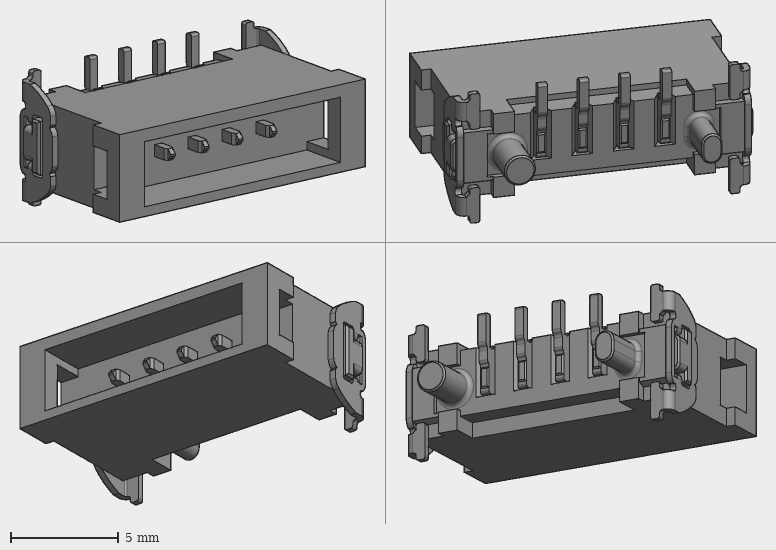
import cadquery as cq


total_length = 14.6
mating_x = 7.75
post_length = 2.0

body_width = 13.58
body_height = 4.26
flange_width = 14.51
flange_x = 5.75
half_height = body_height / 2

back_x = 0.29
standoff_inner_y = 4.35
standoff_outer_y = 5.36
ledge_x = 1.43
ledge_top_z = 1.84
ledge_bottom_z = -1.37
seat_half_height = 1.1
seat_outer_y = 5.64
shoulder_x = 0.48
shelf_x = 0.095
shelf_half_height = 1.28
shelf_slope_height = 0.16

mouth_half_width = 5.78
mouth_clearance = 0.41
slot_start_x = 5.21
slot_end_x = 6.8
slot_bottom_z = -1.24
slot_top_z = 1.11

post_diameter = 1.5
post_y = 4.63
oval_post_y = 4.65
oval_post_width = 1.0
post_root_fillet = 0.23
post_tip_chamfer = 0.09

contact_pitch = 2.0
contact_count = 4
contact_width = 0.45
contact_front_x = -0.06
contact_top_z = 3.36
contact_bottom_z = -0.5
groove_width = 1.01
groove_floor_x = 0.77
groove_bottom_z = -0.58
rib_width = 0.29
rib_top_z = 0.79
rib_bottom_z = -0.23
rib_height = 0.06
contact_lower_x = 0.23
prong_half_height = 0.285
prong_embed = 0.15
prong_tip_x = 6.34
prong_taper_x = 5.94
prong_chamfer_x = 6.13
prong_tip_height = 0.09
prong_tip_width = 0.26

sheet = 0.32
clip_inner_y = body_width / 2
clip_outer_y = clip_inner_y + sheet
clip_front_x = -0.06
clip_edge_x = 0.036
bend_radius = 0.41
bend_end_x = clip_front_x + bend_radius
bend_end_y = clip_outer_y - bend_radius
bend_top_z = 2.89
bend_bottom_z = 1.94
relief_bottom_z = 1.56
relief_end_x = 0.445
tab_top_z = 3.28
tab_bottom_z = 1.49
tab_inner_y = 6.05
tab_outer_y = 6.53
tab_rounding = 0.12

boss_top_y = total_length / 2
opening_stem_x = 0.32
opening_bar_x = 1.01
opening_end_x = 1.72
opening_stem_half = 1.24
opening_bar_half = 1.47
opening_edge_chamfer = 0.07
opening_corner_radius = 0.1
lip_start_x = 0.58
boss_stem_x = 0.42
boss_bar_x = 1.1
boss_end_x = 1.68
boss_stem_half = 0.85
boss_bar_half = 1.31
boss_stem_fillet = 0.29
boss_chamfer = 0.1


def block(x0, x1, y0, y1, z0, z1):
    return cq.Workplane("XY").box(x1 - x0, y1 - y0, z1 - z0, centered=False).translate((x0, y0, z0))


def both_ends(shape):
    """The shape together with its mirror image at the other end of the row."""
    return shape.union(shape.mirror("XZ"))


def xz_plate(outline_plane_y, outline, thickness):
    """Closed XZ outline extruded toward +Y from the given Y."""
    plane = cq.Workplane("XZ", origin=(0, outline_plane_y, 0))
    return outline(plane).close().extrude(-thickness)


def housing():
    body = block(0, mating_x, -body_width / 2, body_width / 2, -half_height, half_height)
    flange = block(flange_x, mating_x, -flange_width / 2, flange_width / 2, -half_height, half_height)
    body = body.union(flange)

    body = body.cut(block(0, back_x, -standoff_inner_y, standoff_inner_y, -half_height, half_height))
    for z0, z1 in ((ledge_top_z, half_height), (-half_height, ledge_bottom_z)):
        body = body.cut(block(0, ledge_x, -standoff_inner_y, standoff_inner_y, z0, z1))

    seat = block(0, back_x, standoff_inner_y, seat_outer_y, -seat_half_height, seat_half_height)
    body = body.cut(both_ends(seat))

    shoulder = block(0, shoulder_x, standoff_outer_y, clip_inner_y, -half_height, half_height)
    shelf = xz_plate(
        standoff_outer_y,
        lambda w: w.polyline([
            (shelf_x, shelf_half_height),
            (shoulder_x, shelf_half_height),
            (shoulder_x, -shelf_half_height - shelf_slope_height),
            (shelf_x, -shelf_half_height),
        ]),
        clip_inner_y - standoff_outer_y,
    )
    seat_side = block(0, back_x, standoff_outer_y, seat_outer_y, -seat_half_height, seat_half_height)
    body = body.cut(both_ends(shoulder.cut(shelf.cut(seat_side))))

    half_flange = flange_width / 2
    body = body.cut(block(slot_start_x, slot_end_x, -half_flange, half_flange, slot_bottom_z, slot_top_z))
    mouth_bottom_z = slot_bottom_z - mouth_clearance
    mouth_top_z = slot_top_z + mouth_clearance
    mouth = block(slot_start_x, mating_x, -mouth_half_width, mouth_half_width, mouth_bottom_z, mouth_top_z)
    return body.cut(mouth)


def add_post(body, y, profile):
    """Post on its seat, with a rounded root and a chamfered tip; profile sketches its section."""
    seat = cq.Workplane("YZ", origin=(back_x, y, 0))
    post = profile(seat).extrude(-post_length - back_x)
    post = post.faces("<X").edges().chamfer(post_tip_chamfer)
    reach = post_diameter / 2 + post_root_fillet / 2
    margin = 0.01
    root = cq.selectors.BoxSelector(
        (back_x - margin, y - reach, -reach),
        (back_x + margin, y + reach, reach),
    )
    return body.union(post).edges(root).fillet(post_root_fillet)


def contact_groove(y):
    return (
        cq.Workplane("XY", origin=(0, y, groove_bottom_z))
        .polyline([
            (back_x, -groove_width / 2),
            (groove_floor_x, -contact_width / 2),
            (groove_floor_x, contact_width / 2),
            (back_x, groove_width / 2),
        ])
        .close()
        .extrude(half_height - groove_bottom_z)
    )


def contact(y):
    tail_back_x = 0.35
    rounding = 0.12
    neck_x = 0.095
    upper_bend = (1.94, 1.56)
    lower_bend = (1.1, rib_top_z)
    lip_x = 0.63
    lip_top_z = 1.9
    notch_floor_z = 1.75

    def outline(w):
        def bend_to(w, x0, x1, z0, z1):
            """S-bend from one vertical front face down to another."""
            w = w.lineTo(x0, z0)
            w = w.tangentArcPoint(((x0 + x1) / 2, (z0 + z1) / 2), relative=False)
            return w.tangentArcPoint((x1, z1), relative=False)

        w = (
            w.moveTo(groove_floor_x, contact_bottom_z)
            .lineTo(groove_floor_x, lip_top_z)
            .lineTo(lip_x, lip_top_z)
            .lineTo(lip_x, notch_floor_z)
            .lineTo(tail_back_x, notch_floor_z)
            .lineTo(tail_back_x, contact_top_z - rounding)
            .radiusArc((tail_back_x - rounding, contact_top_z), -rounding)
            .lineTo(contact_front_x + rounding, contact_top_z)
            .radiusArc((contact_front_x, contact_top_z - rounding), -rounding)
        )
        w = bend_to(w, contact_front_x, neck_x, *upper_bend)
        w = bend_to(w, neck_x, contact_lower_x, *lower_bend)
        return w.lineTo(contact_lower_x, contact_bottom_z + rounding).radiusArc(
            (contact_lower_x + rounding, contact_bottom_z), -rounding
        )

    pin = xz_plate(y - contact_width / 2, outline, contact_width)
    rib_length = rib_top_z - rib_bottom_z
    rib = (
        cq.Workplane("YZ", origin=(contact_lower_x, y, (rib_top_z + rib_bottom_z) / 2))
        .rect(contact_width, rib_length)
        .workplane(offset=-rib_height)
        .rect(rib_width, rib_length - (contact_width - rib_width))
        .loft()
    )
    return pin.union(rib).union(contact_prong(y))


def contact_prong(y):
    """Blade standing in the through slot, tapered at its tip in both directions."""
    half_width = contact_width / 2
    tip_half_height = prong_tip_height / 2
    tip_half_width = prong_tip_width / 2
    root_x = slot_start_x - prong_embed
    side = cq.Workplane("XZ", origin=(0, y - half_width, 0)).polyline([
        (root_x, -prong_half_height),
        (prong_chamfer_x, -prong_half_height),
        (prong_tip_x, -tip_half_height),
        (prong_tip_x, tip_half_height),
        (prong_chamfer_x, prong_half_height),
        (root_x, prong_half_height),
    ]).close().extrude(-contact_width)
    plan = cq.Workplane("XY", origin=(0, y, -prong_half_height)).polyline([
        (root_x, -half_width),
        (prong_taper_x, -half_width),
        (prong_chamfer_x, -tip_half_width),
        (prong_tip_x, -tip_half_width),
        (prong_tip_x, tip_half_width),
        (prong_chamfer_x, tip_half_width),
        (prong_taper_x, half_width),
        (root_x, half_width),
    ]).close().extrude(2 * prong_half_height)
    return side.intersect(plan)


def clip_plate():
    """Upper half of the flat clip face, which lies along the housing end."""
    relief_middle_z = (relief_bottom_z + bend_bottom_z) / 2
    corner_start = (clip_edge_x, 1.11)
    corner_middle = (0.12, 1.4)
    corner_end = (0.25, relief_bottom_z)
    crown_start = (0.77, bend_top_z)
    crown_middle = (1.5, 2.55)
    crown_end = (2.09, half_height)
    cheek_middle = (2.25, 1.94)
    cheek_end = (2.34, 1.71)
    notch_start = (2.34, 1.24)
    notch_bottom = (2.25, 1.11)
    nose_middle = (2.4, 0.95)
    nose_end = (2.48, 0.73)

    def outline(w):
        return (
            w.moveTo(clip_edge_x, 0)
            .lineTo(*corner_start)
            .threePointArc(corner_middle, corner_end)
            .lineTo(bend_end_x, relief_bottom_z)
            .threePointArc((relief_end_x, relief_middle_z), (bend_end_x, bend_bottom_z))
            .lineTo(bend_end_x, bend_top_z)
            .lineTo(*crown_start)
            .threePointArc(crown_middle, crown_end)
            .threePointArc(cheek_middle, cheek_end)
            .lineTo(*notch_start)
            .lineTo(*notch_bottom)
            .threePointArc(nose_middle, nose_end)
            .lineTo(nose_end[0], 0)
        )

    return xz_plate(clip_inner_y, outline, sheet)


def clip_bend():
    inner_radius = bend_radius - sheet
    return (
        cq.Workplane("XY", origin=(0, 0, bend_bottom_z))
        .moveTo(bend_end_x, clip_outer_y)
        .radiusArc((clip_front_x, bend_end_y), -bend_radius)
        .lineTo(clip_front_x + sheet, bend_end_y)
        .radiusArc((bend_end_x, clip_outer_y - sheet), inner_radius)
        .close()
        .extrude(bend_top_z - bend_bottom_z)
    )


def clip_tab():
    neck = bend_end_y - tab_outer_y
    tab = block(clip_front_x, clip_front_x + sheet, tab_inner_y, tab_outer_y, tab_bottom_z, tab_top_z)
    tab = tab.edges("|X").fillet(tab_rounding)
    link = (
        cq.Workplane("YZ", origin=(clip_front_x, 0, 0))
        .moveTo(tab_inner_y + tab_rounding, bend_top_z + neck)
        .lineTo(tab_outer_y, bend_top_z + neck)
        .radiusArc((bend_end_y, bend_top_z), -neck)
        .lineTo(bend_end_y, bend_bottom_z)
        .lineTo(tab_outer_y, bend_bottom_z - neck)
        .lineTo(tab_inner_y + tab_rounding, bend_bottom_z - neck)
        .close()
        .extrude(sheet)
    )
    return tab.union(link)


def clip_opening():
    edge_x = opening_stem_x + opening_edge_chamfer
    stem = (
        cq.Workplane("XY", origin=(0, 0, -opening_stem_half))
        .polyline([
            (edge_x, clip_inner_y),
            (edge_x, clip_outer_y - opening_edge_chamfer),
            (opening_stem_x, clip_outer_y),
            (opening_end_x, clip_outer_y),
            (opening_end_x, clip_inner_y),
        ])
        .close()
        .extrude(2 * opening_stem_half)
    )
    bar = block(opening_bar_x, opening_end_x, clip_inner_y, clip_outer_y, -opening_bar_half, opening_bar_half)
    return stem.union(bar.edges("|Y").fillet(opening_corner_radius))


def clip_boss():
    """T-shaped housing boss filling most of the clip opening."""
    stem_end_x = boss_bar_x + boss_chamfer
    stem = block(boss_stem_x, stem_end_x, clip_inner_y, boss_top_y, -boss_stem_half, boss_stem_half)
    stem = stem.edges(">Y and |X").fillet(boss_stem_fillet)
    stem = stem.faces("<X").edges(">Y").chamfer(boss_chamfer)
    bar = block(boss_bar_x, boss_end_x, clip_inner_y, boss_top_y, -boss_bar_half, boss_bar_half)
    bar = bar.faces(">Y").edges().chamfer(boss_chamfer)
    return stem.union(bar)


def opening_lip():
    """Rounded lip that narrows the clip opening beside the boss stem."""
    lip = cq.Workplane("YZ", origin=(lip_start_x, clip_inner_y, opening_stem_half))
    return (
        lip.lineTo(sheet, 0)
        .radiusArc((0, -sheet), sheet)
        .close()
        .extrude(opening_bar_x - lip_start_x)
    )


def solder_clip():
    upper = clip_plate().union(clip_bend()).union(clip_tab())
    clip = upper.union(upper.mirror("XY"))
    clip = clip.cut(clip_opening()).union(clip_boss())
    lip = opening_lip()
    return clip.union(lip).union(lip.mirror("XY"))


result = housing()
result = add_post(result, post_y, lambda seat: seat.circle(post_diameter / 2))
result = add_post(result, -oval_post_y, lambda seat: seat.slot2D(post_diameter, oval_post_width, 90))
for index in range(contact_count):
    row_y = (index - (contact_count - 1) / 2) * contact_pitch
    result = result.cut(contact_groove(row_y)).union(contact(row_y))
result = result.union(both_ends(solder_clip()))